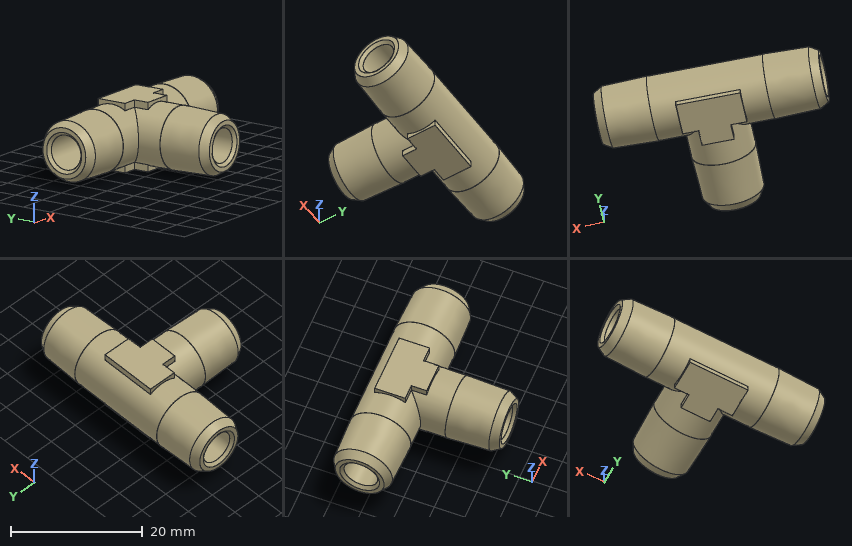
import cadquery as cq
import math

arm_reach = 17.5
outer_diameter = 10.0
taper_start_diameter = 10.08
bore_diameter = 5.5
taper_length = 8.47
taper_ratio = 1 / 16
end_chamfer_length = 1.4
end_chamfer_angle = 30.0
mouth_diameter = 6.5
mouth_angle = 45.0
pad_height = 11.0

outer_radius = outer_diameter / 2
taper_start_radius = taper_start_diameter / 2
bore_radius = bore_diameter / 2
mouth_radius = mouth_diameter / 2
chamfer_start_radius = taper_start_radius - (taper_length - end_chamfer_length) * taper_ratio / 2
end_radius = chamfer_start_radius - end_chamfer_length * math.tan(math.radians(end_chamfer_angle))
mouth_depth = (mouth_radius - bore_radius) / math.tan(math.radians(mouth_angle))
pad_width = outer_diameter
stem_width = outer_diameter / 2

arm_angles = (0, 180, -90)


def revolve_about_x(points):
    """Revolve a closed (distance, radius) outline around the X axis."""
    return cq.Workplane("XY").polyline(points).close().revolve(360, (0, 0, 0), (1, 0, 0))


def arm_body():
    """Solid arm along +X: plain barrel, small step, thread taper and end chamfer."""
    return revolve_about_x([
        (0, 0),
        (0, outer_radius),
        (arm_reach - taper_length, outer_radius),
        (arm_reach - taper_length, taper_start_radius),
        (arm_reach - end_chamfer_length, chamfer_start_radius),
        (arm_reach, end_radius),
        (arm_reach, 0),
    ])


def arm_bore():
    """Bore along +X from the tee centre, with its countersunk mouth."""
    return revolve_about_x([
        (0, 0),
        (0, bore_radius),
        (arm_reach - mouth_depth, bore_radius),
        (arm_reach, mouth_radius),
        (arm_reach, 0),
    ])


def turned(arm, angle):
    return arm.rotate((0, 0, 0), (0, 0, 1), angle)


def tee_pads():
    """T-shaped block through the centre that forms both flat pads."""
    bar = cq.Workplane("XY").box(pad_width, stem_width, pad_height)
    stem = (
        cq.Workplane("XY")
        .box(stem_width, outer_radius, pad_height)
        .translate((0, -outer_radius / 2, 0))
    )
    return bar.union(stem)


body = tee_pads()
for angle in arm_angles:
    body = body.union(turned(arm_body(), angle))

for angle in arm_angles:
    body = body.cut(turned(arm_bore(), angle))

result = body.translate((0, (arm_reach - taper_start_radius) / 2, 0))